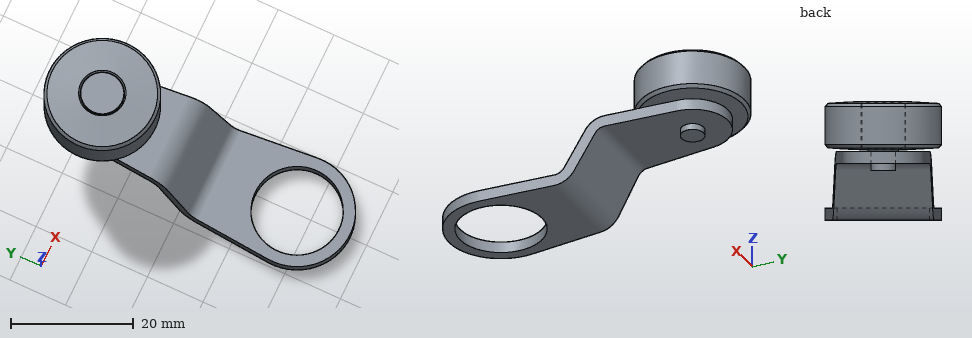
import cadquery as cq
import math

thickness = 2.0
centre_distance = 35.0
arm_x = 0.03
large_end_radius = 9.5
small_end_radius = 6.5
eye_diameter = 15.0
upper_top = 11.24
bend_inner_radius = 2.0
bend_outer_radius = bend_inner_radius + thickness
bend_angle = math.radians(59.5)
lower_bend_y = 14.0

roller_radius = 9.5
roller_height = 7.85
roller_gap = 0.25
rim_chamfer_width = 0.5
rim_chamfer_height = 0.55
dome_radius = 110.0
mouth_chamfer = 0.25

journal_radius = 3.5
journal_clearance = 0.1
journal_recess = 0.1
collar_radius = 2.5
stem_radius = 2.0
stem_protrusion = 1.1

roller_bottom = upper_top + roller_gap
roller_top = roller_bottom + roller_height
roller_mid = (roller_bottom + roller_top) / 2
bore_radius = journal_radius + journal_clearance
mouth_radius = bore_radius + mouth_chamfer
journal_bottom = roller_bottom + journal_recess
journal_top = roller_top - journal_recess
stem_bottom = upper_top - thickness - stem_protrusion


def cylinder(radius, bottom, top):
    """Cylinder on the roller axis between two heights."""
    return cq.Workplane("XY", origin=(0, centre_distance, bottom)).circle(radius).extrude(top - bottom)


def arm_plan():
    """Tapered outline: two end arcs joined by their outer tangents."""
    taper = math.asin((large_end_radius - small_end_radius) / centre_distance)

    def tangent_point(radius, centre_y, side):
        return (arm_x + side * radius * math.cos(taper), centre_y + radius * math.sin(taper))

    return (
        cq.Workplane("XY")
        .moveTo(*tangent_point(large_end_radius, 0, 1))
        .lineTo(*tangent_point(small_end_radius, centre_distance, 1))
        .threePointArc(
            (arm_x, centre_distance + small_end_radius),
            tangent_point(small_end_radius, centre_distance, -1),
        )
        .lineTo(*tangent_point(large_end_radius, 0, -1))
        .threePointArc((arm_x, -large_end_radius), tangent_point(large_end_radius, 0, 1))
        .close()
        .extrude(upper_top)
    )


def bent_strip():
    """Side profile of the offset strip, extruded across the full width."""
    radii = bend_inner_radius + bend_outer_radius
    slope_rise = upper_top - thickness - radii * (1 - math.cos(bend_angle))
    upper_bend_y = lower_bend_y + radii * math.sin(bend_angle) + slope_rise / math.tan(bend_angle)
    lower_centre = (lower_bend_y, bend_outer_radius)
    upper_centre = (upper_bend_y, upper_top - bend_outer_radius)

    def lower_point(radius, angle):
        return (lower_centre[0] + radius * math.sin(angle), lower_centre[1] - radius * math.cos(angle))

    def upper_point(radius, angle):
        return (upper_centre[0] - radius * math.sin(angle), upper_centre[1] + radius * math.cos(angle))

    near_y = -large_end_radius
    far_y = centre_distance + small_end_radius
    half = bend_angle / 2
    return (
        cq.Workplane("YZ")
        .moveTo(near_y, 0)
        .lineTo(*lower_point(bend_outer_radius, 0))
        .threePointArc(lower_point(bend_outer_radius, half), lower_point(bend_outer_radius, bend_angle))
        .lineTo(*upper_point(bend_inner_radius, bend_angle))
        .threePointArc(upper_point(bend_inner_radius, half), upper_point(bend_inner_radius, 0))
        .lineTo(far_y, upper_top - thickness)
        .lineTo(far_y, upper_top)
        .lineTo(*upper_point(bend_outer_radius, 0))
        .threePointArc(upper_point(bend_outer_radius, half), upper_point(bend_outer_radius, bend_angle))
        .lineTo(*lower_point(bend_inner_radius, bend_angle))
        .threePointArc(lower_point(bend_inner_radius, half), lower_point(bend_inner_radius, 0))
        .lineTo(near_y, thickness)
        .close()
        .extrude(2 * large_end_radius, both=True)
    )


def make_arm():
    """Bent strip trimmed to the plan outline, with the eye and the pin hole."""
    eye = cq.Workplane("XY").circle(eye_diameter / 2).extrude(thickness)
    return bent_strip().intersect(arm_plan()).cut(eye).cut(cylinder(stem_radius, 0, upper_top))


def make_roller():
    """Revolved roller: domed faces, chamfered rims and a through bore, alike at both ends."""

    def crest_drop(radius):
        """How far the domed face falls from its crest at the bore mouth."""
        return math.sqrt(dome_radius**2 - mouth_radius**2) - math.sqrt(dome_radius**2 - radius**2)

    half_height = roller_height / 2
    rim_radius = roller_radius - rim_chamfer_width
    rim_height = half_height - crest_drop(rim_radius)
    face_mid_radius = (mouth_radius + rim_radius) / 2
    face_mid_height = half_height - crest_drop(face_mid_radius)
    return (
        cq.Workplane("XZ", origin=(0, centre_distance, roller_mid))
        .moveTo(bore_radius, mouth_chamfer - half_height)
        .lineTo(mouth_radius, -half_height)
        .threePointArc((face_mid_radius, -face_mid_height), (rim_radius, -rim_height))
        .lineTo(roller_radius, rim_chamfer_height - rim_height)
        .lineTo(roller_radius, rim_height - rim_chamfer_height)
        .lineTo(rim_radius, rim_height)
        .threePointArc((face_mid_radius, face_mid_height), (mouth_radius, half_height))
        .lineTo(bore_radius, half_height - mouth_chamfer)
        .close()
        .revolve(360, (0, 0, 0), (0, 1, 0))
    )


def make_pin():
    """Stepped pin: stem through the arm, collar on the arm, journal in the roller bore."""
    stem = cylinder(stem_radius, stem_bottom, upper_top)
    collar = cylinder(collar_radius, upper_top, journal_bottom)
    journal = cylinder(journal_radius, journal_bottom, journal_top)
    return stem.union(collar).union(journal)


arm = make_arm()
roller = make_roller()
pin = make_pin()

result = cq.Compound.makeCompound([arm.solids().val(), roller.solids().val(), pin.solids().val()])